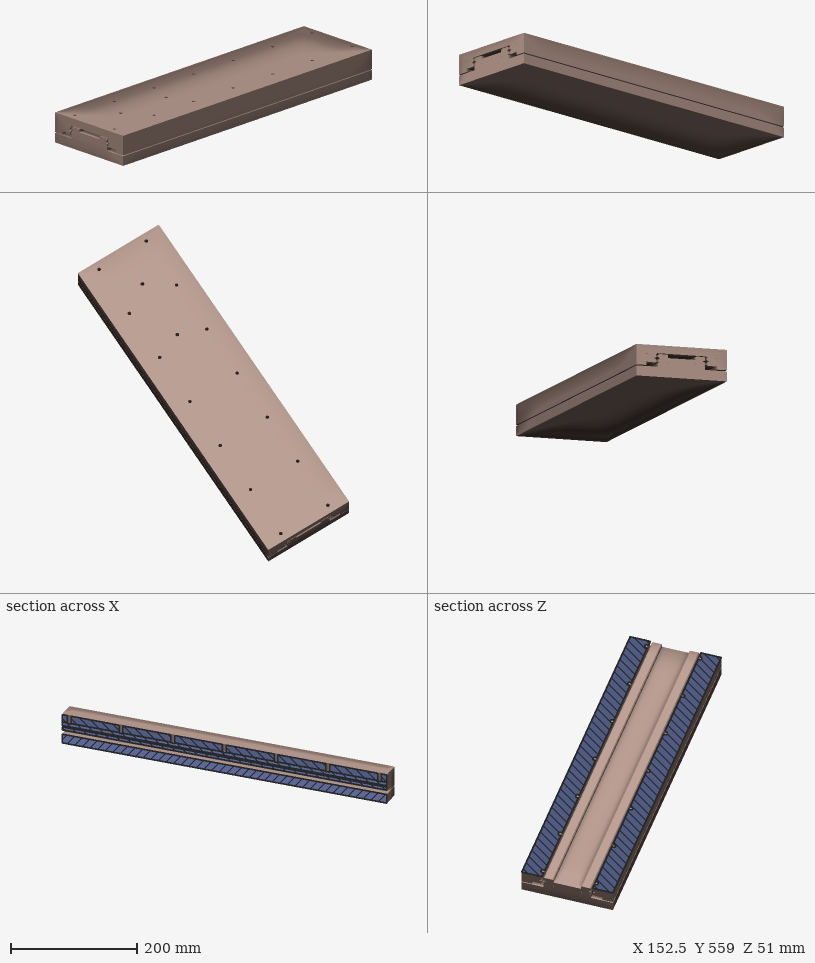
import cadquery as cq


LENGTH = 559.0
WIDTH = 152.5
HEIGHT = 51.0

RAIL_WIDTH = 17.0
RAIL_HEIGHT = 14.0
RAIL_BOTTOM = 23.0
RAIL_GAP = 3.0
INNER_RAIL_FACE_X = 39.5
RAIL_CHAMFER = 1.5
GROOVE_HEIGHT = 5.0
RELIEF_HEIGHT = 1.5
RELIEF_DEPTH = 1.5
flank_depth = (GROOVE_HEIGHT - RELIEF_HEIGHT) / 2
groove_depth = flank_depth + RELIEF_DEPTH

rail_top = RAIL_BOTTOM + RAIL_HEIGHT
outer_rail_face_x = INNER_RAIL_FACE_X + RAIL_GAP
inner_rail_back_x = INNER_RAIL_FACE_X - RAIL_WIDTH
outer_rail_back_x = outer_rail_face_x + RAIL_WIDTH

BASE_FLANGE_TOP = 16.0
BASE_CENTRE_TOP = 31.5

PLATFORM_GAP = 1.5
PLATFORM_ROOF = 13.0
ROOF_EDGE_X = 42.0
platform_bottom = BASE_FLANGE_TOP + PLATFORM_GAP
roof_z = HEIGHT - PLATFORM_ROOF

HOLE_DIAMETER = 5.5
HOLE_PITCH = 89.0
HOLE_ROWS = 7
CENTRE_HOLE_DIAMETER = 6.0
CENTRE_HOLES_Y = (-106.0, -208.5)


def extrude_along_slide(outline):
    """Extrude a closed (x, z) outline over the full length, centred on Y = 0."""
    return cq.Workplane("XZ").polyline(outline).close().extrude(LENGTH / 2, both=True)


def mirrored_outline(right_half):
    """Complete an outline, given from the mid-plane over its right half, by mirroring it."""
    left_half = [(-x, z) for x, z in reversed(right_half)]
    return right_half + left_half


def make_base():
    """Flanged base with a raised middle and a seat for each inner rail."""
    return extrude_along_slide(mirrored_outline([
        (inner_rail_back_x, BASE_CENTRE_TOP),
        (inner_rail_back_x, RAIL_BOTTOM),
        (INNER_RAIL_FACE_X, RAIL_BOTTOM),
        (INNER_RAIL_FACE_X, BASE_FLANGE_TOP),
        (WIDTH / 2, BASE_FLANGE_TOP),
        (WIDTH / 2, 0),
    ]))


def make_platform():
    """Channel-shaped platform, seating the outer rails in its corners, with holes in its top."""
    platform = extrude_along_slide(mirrored_outline([
        (ROOF_EDGE_X, roof_z),
        (ROOF_EDGE_X, rail_top),
        (outer_rail_back_x, rail_top),
        (outer_rail_back_x, platform_bottom),
        (WIDTH / 2, platform_bottom),
        (WIDTH / 2, HEIGHT),
    ]))
    top = cq.Workplane("XY", origin=(0, 0, HEIGHT))
    mounting_holes = (
        top.rarray(HOLE_PITCH, HOLE_PITCH, 2, HOLE_ROWS)
        .circle(HOLE_DIAMETER / 2)
        .extrude(rail_top - HEIGHT)
    )
    centre_holes = (
        top.pushPoints([(0, y) for y in CENTRE_HOLES_Y])
        .circle(CENTRE_HOLE_DIAMETER / 2)
        .extrude(roof_z - HEIGHT)
    )
    return platform.cut(mounting_holes).cut(centre_holes)


def make_rail(face_x, back_x):
    """Chamfered rectangular rail with a relieved V-groove along the middle of its face."""
    groove_z = RAIL_BOTTOM + RAIL_HEIGHT / 2
    inward = 1 if back_x > face_x else -1
    flank_x = face_x + inward * flank_depth
    root_x = face_x + inward * groove_depth
    bar = extrude_along_slide([
        (face_x, RAIL_BOTTOM),
        (back_x, RAIL_BOTTOM),
        (back_x, rail_top),
        (face_x, rail_top),
    ]).edges("|Y").chamfer(RAIL_CHAMFER)
    groove = extrude_along_slide([
        (face_x, groove_z + GROOVE_HEIGHT / 2),
        (flank_x, groove_z + RELIEF_HEIGHT / 2),
        (root_x, groove_z + RELIEF_HEIGHT / 2),
        (root_x, groove_z - RELIEF_HEIGHT / 2),
        (flank_x, groove_z - RELIEF_HEIGHT / 2),
        (face_x, groove_z - GROOVE_HEIGHT / 2),
    ])
    return bar.cut(groove)


base = make_base()
platform = make_platform()

rails = []
for side in (-1, 1):
    inner_rail = make_rail(side * INNER_RAIL_FACE_X, side * inner_rail_back_x)
    outer_rail = make_rail(side * outer_rail_face_x, side * outer_rail_back_x)
    rails += [inner_rail.val(), outer_rail.val()]

result = cq.Compound.makeCompound([base.val(), platform.val(), *rails])